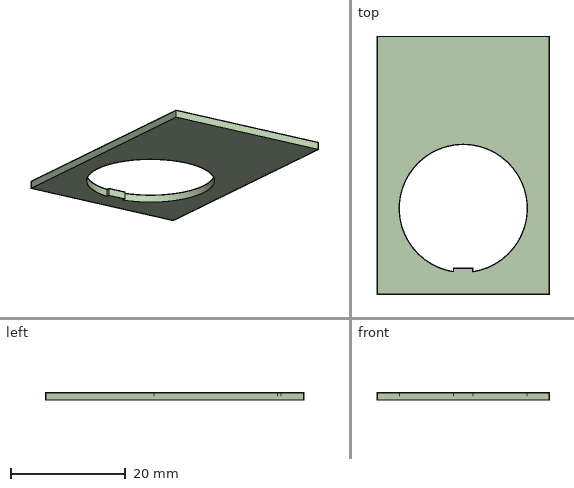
import cadquery as cq

plate_width = 30.0
plate_length = 45.0
plate_thickness = 1.3

hole_diameter = 22.3
hole_center_y = -7.5
key_width = 3.4
key_distance = 10.4


def make_plate():
    """Flat rectangular plate centred on the origin, resting on Z = 0."""
    return cq.Workplane("XY").box(
        plate_width, plate_length, plate_thickness, centered=(True, True, False)
    )


def make_keyed_opening():
    """Through cylinder with the key's material left out of it."""
    hole_radius = hole_diameter / 2
    opening = (
        cq.Workplane("XY")
        .center(0, hole_center_y)
        .circle(hole_radius)
        .extrude(plate_thickness)
    )
    key = (
        cq.Workplane("XY")
        .center(0, hole_center_y - (key_distance + hole_radius) / 2)
        .rect(key_width, hole_radius - key_distance)
        .extrude(plate_thickness)
    )
    return opening.cut(key)


result = make_plate().cut(make_keyed_opening())